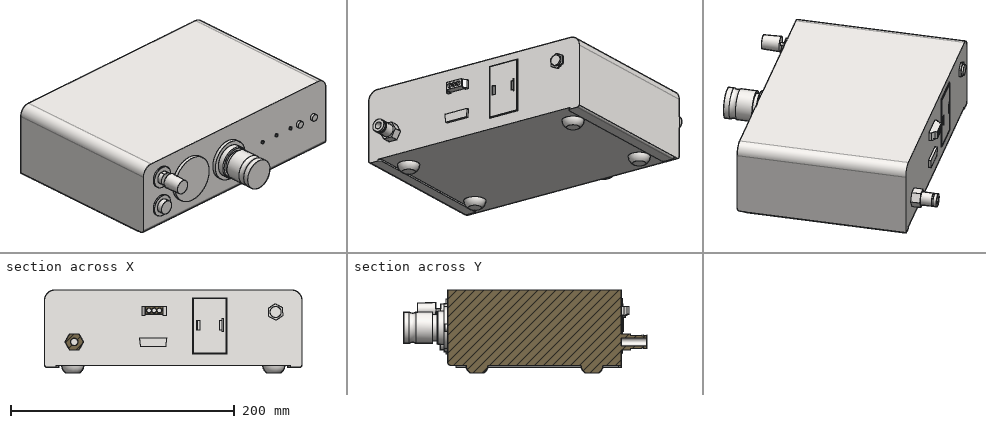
import cadquery as cq
import math


case_length = 155.3
case_width = 230.5
case_top = 74.5
case_bottom = 6.7
top_edge_radius = 9.7
bottom_edge_radius = 3.0

flange_bottom = 5.0
flange_top = 7.5
flange_length = 148.0
flange_width = 13.0
flange_corner_chamfer = 2.5
flange_bend_radius = 2.3

foot_diameter = 20.0
foot_tip_diameter = 12.0
foot_bulge = 0.7
foot_x_positions = (26.3, 129.0)
foot_y = 89.9

fitting_y = 88.5
fitting_z = 27.9
fitting_length = 22.8
fitting_diameter = 12.0
fitting_hex_flats = 14.5
fitting_hex_length = 8.3
fitting_head_length = 3.0
fitting_groove_width = 1.4
fitting_groove_diameter = 10.8
fitting_bore_diameter = 6.5

terminal_y = 17.0
terminal_z = 55.5
terminal_base_width = 22.1
terminal_base_height = 8.0
terminal_base_rim = 2.3
terminal_base_depth = 5.0
terminal_body_width = 16.1
terminal_body_height = 7.1
terminal_depth = 7.0
terminal_hole_diameter = 4.1
terminal_hole_pitch = 4.5
terminal_hole_depth = 2.3
terminal_holes = 3

socket_y = 18.0
socket_z = 27.6
socket_height = 7.8
socket_top_width = 24.5
socket_bottom_width = 22.5
socket_depth = 2.3

inlet_y = -32.7
inlet_z = 42.2
inlet_width = 30.6
inlet_height = 50.0
inlet_depth = 1.0
inlet_chamfer = 0.7
tab_spacing = 23.0
tab_z = 42.9
tab_width = 3.2
tab_height = 8.5
tab_depth = 0.2
tab_rib_width = 1.0
tab_rib_depth = 0.8
tab_rib_heights = (8.5, 11.5)

post_y = -91.5
post_z = 54.5
post_hex_flats = 12.7
post_hex_depth = 1.5
post_hex_tilt = 3.4
post_diameter = 10.0
post_depth = 3.5

round_z = 40.5
plug_y = -8.8
plug_length = 39.5
plug_flange_diameter = 37.5
plug_flange_end = 3.2
plug_collar_diameter = 30.0
plug_collar_end = 9.7
plug_collar_chamfer = 1.0
plug_neck_diameter = 24.0
plug_neck_end = 13.4
plug_barrel_diameter = 28.0
plug_barrel_end = 28.3
plug_waist_diameter = 26.3
plug_waist_end = 34.3

dial_y = -57.0
dial_diameter = 43.0
dial_depth = 3.2

pin_diameter = 6.5
pin_depth = 2.5
pin_y_positions = (98.8, 81.0)
lamp_diameter = 3.0
lamp_depth = 1.0
lamp_y_positions = (70.3, 52.5, 35.0)

switch_y = -92.6
washer_diameter = 20.3
washer_depth = 1.5
toggle_z = 56.2
toggle_nut_diameter = 12.0
toggle_nut_flats = 11.3
toggle_nut_end = 6.2
toggle_stem_diameter = 3.0
toggle_knob_base_diameter = 14.0
toggle_knob_tip_diameter = 13.0
toggle_knob_start = 10.5
toggle_knob_end = 27.0
button_z = 27.2
button_diameter = 13.0
button_end = 6.7


def rear_plane(y, z):
    """Sketch plane on the rear panel: normal along -X, local x along -Y."""
    return cq.Workplane(cq.Plane((0, y, z), xDir=(0, -1, 0), normal=(-1, 0, 0)))


def front_plane(y, z):
    """Sketch plane on the front panel: normal along +X, local x along +Y."""
    return cq.Workplane(cq.Plane((case_length, y, z), xDir=(0, 1, 0), normal=(1, 0, 0)))


def disc(plane, diameter, end):
    return plane.circle(diameter / 2).extrude(end)


def hexagon(plane, flats, end, turn=0):
    """Hexagonal prism; with no turn its flats face up and down."""
    across_corners = flats / math.cos(math.radians(30))
    return plane.transformed(rotate=(0, 0, turn)).polygon(6, across_corners).extrude(end)


def make_case():
    height = case_top - case_bottom
    body = cq.Workplane("XY").box(case_length, case_width, height, centered=(False, True, False))
    body = body.translate((0, 0, case_bottom))
    body = body.edges("|X and >Z").fillet(top_edge_radius)
    body = body.edges(">X and <Z").fillet(bottom_edge_radius)
    for side in (1, -1):
        body = body.union(make_flange(side))
    return body


def make_flange(side):
    outer_y = side * case_width / 2
    flange = (
        cq.Workplane("XY")
        .box(flange_length, flange_width, flange_top - flange_bottom, centered=(False, True, False))
        .translate((0, outer_y - side * flange_width / 2, flange_bottom))
    )
    outer_edge = ">Y" if side > 0 else "<Y"
    inner_edge = "<Y" if side > 0 else ">Y"
    flange = flange.edges(f"|X and <Z and {outer_edge}").fillet(flange_bend_radius)
    return flange.edges(f"|Z and <X and {inner_edge}").chamfer(flange_corner_chamfer)


def make_foot(x, y):
    rim = foot_diameter / 2
    tip = foot_tip_diameter / 2
    arc_middle = ((rim + tip) / 2 + foot_bulge, case_bottom / 2 - foot_bulge)
    return (
        cq.Workplane("XZ")
        .lineTo(tip, 0)
        .threePointArc(arc_middle, (rim, case_bottom))
        .lineTo(0, case_bottom)
        .close()
        .revolve(360, (0, 0), (0, 1))
        .translate((x, y, 0))
    )


def make_hose_fitting():
    plane = rear_plane(fitting_y, fitting_z)
    groove_end = fitting_length - fitting_head_length
    groove_start = groove_end - fitting_groove_width
    head = plane.workplane(offset=groove_end)
    fitting = hexagon(plane, fitting_hex_flats, fitting_hex_length)
    fitting = fitting.union(disc(plane, fitting_diameter, groove_start))
    fitting = fitting.union(disc(plane, fitting_groove_diameter, groove_end))
    fitting = fitting.union(disc(head, fitting_diameter, fitting_head_length))
    return fitting.cut(disc(plane, fitting_bore_diameter, fitting_length))


def make_terminal_block():
    """Body between two tapering, slightly taller ears, all flush on top."""
    half_base = terminal_base_width / 2
    half_body = terminal_body_width / 2
    base = (
        cq.Workplane("XY")
        .moveTo(0, half_base)
        .lineTo(-terminal_base_rim, half_base)
        .lineTo(-terminal_base_depth, half_body)
        .lineTo(-terminal_base_depth, -half_body)
        .lineTo(-terminal_base_rim, -half_base)
        .lineTo(0, -half_base)
        .close()
        .extrude(terminal_base_height)
        .translate((0, terminal_y, terminal_z - terminal_base_height / 2))
    )
    body_z = terminal_z + (terminal_base_height - terminal_body_height) / 2
    plane = rear_plane(terminal_y, body_z)
    body = plane.rect(terminal_body_width, terminal_body_height).extrude(terminal_depth)
    holes = (
        plane.workplane(offset=terminal_depth)
        .rarray(terminal_hole_pitch, 2.3, terminal_holes, 1)
        .circle(terminal_hole_diameter / 2)
        .extrude(-terminal_hole_depth)
    )
    gap = rear_plane(terminal_y, terminal_z).rect(terminal_body_width, terminal_base_height)
    ears = base.cut(gap.extrude(terminal_depth))
    return ears.union(body).cut(holes)


def make_socket():
    top = socket_top_width / 2
    bottom = socket_bottom_width / 2
    half = socket_height / 2
    outline = [(-top, half), (top, half), (bottom, -half), (-bottom, -half)]
    return rear_plane(socket_y, socket_z).polyline(outline).close().extrude(socket_depth)


def make_power_inlet():
    plate = rear_plane(inlet_y, inlet_z).rect(inlet_width, inlet_height).extrude(inlet_depth)
    inlet = plate.faces("<X").chamfer(inlet_chamfer)
    for side, rib_height in zip((1, -1), tab_rib_heights):
        rib_y = inlet_y + side * tab_spacing / 2
        tab_y = rib_y - side * (tab_width - tab_rib_width) / 2
        tab = rear_plane(tab_y, tab_z).rect(tab_width, tab_height).extrude(inlet_depth + tab_depth)
        rib = rear_plane(rib_y, tab_z).rect(tab_rib_width, rib_height).extrude(inlet_depth + tab_rib_depth)
        inlet = inlet.union(tab).union(rib)
    return inlet


def make_ground_post():
    plane = rear_plane(post_y, post_z)
    nut = hexagon(plane, post_hex_flats, post_hex_depth, 30 + post_hex_tilt)
    return nut.union(disc(plane, post_diameter, post_depth))


def make_plug():
    """Round connector turned about its axis, with a concave waist before the end ring."""
    collar = plug_collar_diameter / 2
    barrel = plug_barrel_diameter / 2
    waist_middle = ((plug_barrel_end + plug_waist_end) / 2, plug_waist_diameter / 2)
    return (
        cq.Workplane("XY")
        .lineTo(0, plug_flange_diameter / 2)
        .lineTo(plug_flange_end, plug_flange_diameter / 2)
        .lineTo(plug_flange_end, collar)
        .lineTo(plug_collar_end - plug_collar_chamfer, collar)
        .lineTo(plug_collar_end, collar - plug_collar_chamfer)
        .lineTo(plug_collar_end, plug_neck_diameter / 2)
        .lineTo(plug_neck_end, plug_neck_diameter / 2)
        .lineTo(plug_neck_end, barrel)
        .lineTo(plug_barrel_end, barrel)
        .threePointArc(waist_middle, (plug_waist_end, barrel))
        .lineTo(plug_length, barrel)
        .lineTo(plug_length, 0)
        .close()
        .revolve(360, (0, 0), (1, 0))
        .translate((case_length, plug_y, round_z))
    )


def make_toggle_switch():
    """Tapered knob on a thin stem; the round nut has a flat above and below."""
    plane = front_plane(switch_y, toggle_z)
    knob_length = toggle_knob_end - toggle_knob_start
    knob = (
        plane.workplane(offset=toggle_knob_start)
        .circle(toggle_knob_base_diameter / 2)
        .workplane(offset=knob_length)
        .circle(toggle_knob_tip_diameter / 2)
        .loft()
    )
    flats = plane.rect(toggle_nut_diameter, toggle_nut_flats).extrude(toggle_nut_end)
    nut = disc(plane, toggle_nut_diameter, toggle_nut_end).intersect(flats)
    switch = disc(plane, washer_diameter, washer_depth)
    switch = switch.union(nut)
    switch = switch.union(disc(plane, toggle_stem_diameter, toggle_knob_start))
    return switch.union(knob)


def make_push_button():
    plane = front_plane(switch_y, button_z)
    return disc(plane, washer_diameter, washer_depth).union(disc(plane, button_diameter, button_end))


result = make_case()

for foot_x in foot_x_positions:
    for side in (1, -1):
        result = result.union(make_foot(foot_x, side * foot_y))

for rear_part in (
    make_hose_fitting(),
    make_terminal_block(),
    make_socket(),
    make_power_inlet(),
    make_ground_post(),
):
    result = result.union(rear_part)

for front_part in (make_plug(), make_toggle_switch(), make_push_button()):
    result = result.union(front_part)

result = result.union(disc(front_plane(dial_y, round_z), dial_diameter, dial_depth))
for pin_y in pin_y_positions:
    result = result.union(disc(front_plane(pin_y, round_z), pin_diameter, pin_depth))
for lamp_y in lamp_y_positions:
    result = result.union(disc(front_plane(lamp_y, round_z), lamp_diameter, lamp_depth))